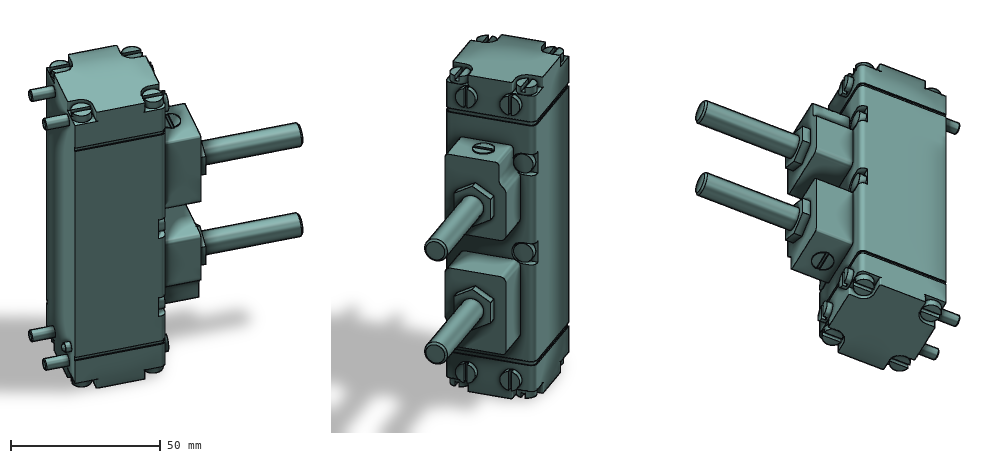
import cadquery as cq
import math

BODY_WIDTH = 32.4
BODY_DEPTH = 32.2
BODY_HEIGHT = 119.0
BACK_EDGE_RADIUS = 2.1
HALF_WIDTH = BODY_WIDTH / 2
HALF_HEIGHT = BODY_HEIGHT / 2

GROOVE_HEIGHT = 1.4
GROOVE_DEPTH = 0.5
GROOVE_Z = 45.1

SCREW_HEAD_DIAMETER = 7.0
SCREW_POCKET_DIAMETER = 8.0
SCREW_X = 11.9
CAP_SCREW_INSET = 3.6
CAP_POCKET_DEPTH = 3.9
CAP_POCKET_LIP_RADIUS = 0.5
CAP_HEAD_HEIGHT = 2.9
CAP_SLOT_WIDTH = 1.4
CAP_SLOT_DEPTH = 1.8

HOLD_POCKET_DEPTH = 2.9
HOLD_HEAD_HEIGHT = 2.5
HOLD_SCREW_Z_OUTER = 29.6
HOLD_SCREW_Z_INNER = 3.9

MOUNT_X = 8.0
MOUNT_Z = 51.8
MOUNT_HEAD_DIAMETER = 7.1
MOUNT_SHANK_DIAMETER = 4.0
MOUNT_SHANK_LENGTH = 8.3
MOUNT_TIP_CHAMFER = 0.4
MOUNT_HEAD_HEIGHT = 2.1
MOUNT_SLOT_WIDTH = 1.1
MOUNT_SLOT_DEPTH = 1.4

LOCATOR_X = 10.8
LOCATOR_Z = -43.7
LOCATOR_DIAMETER = 3.5
LOCATOR_LENGTH = 2.0
LOCATOR_ROOT_DEPTH = 1.2
LOCATOR_TIP_DIAMETER = 2.6
LOCATOR_TIP_LENGTH = 0.8
LOCATOR_TIP_ROUNDING = 0.7

BLOCK_HALF_WIDTH = 11.0
BLOCK_DEPTH = 13.7
BLOCK_INNER_Z = 6.8
BLOCK_OUTER_Z = 35.9
BLOCK_NOTCH_X = 8.5
BLOCK_INNER_RADIUS = 2.1
BLOCK_OUTER_RADIUS = 1.3
BLOCK_SHOULDER_RADIUS = 2.6
BLOCK_BACK_Y = BODY_DEPTH + BLOCK_DEPTH
SELECTION_MARGIN = 0.1

OVERRIDE_DIAMETER = 7.5
OVERRIDE_Y = 38.2
OVERRIDE_PROUD = 0.4
OVERRIDE_LENGTH = 1.2
OVERRIDE_SLOT_WIDTH = 1.1
OVERRIDE_SLOT_DEPTH = 0.7

ROD_Z = 19.4
ROD_DIAMETER = 8.2
ROD_TIP_Y = 84.0
ROD_TIP_CHAMFER = 0.7
NUT_ACROSS_FLATS = 13.2
NUT_THICKNESS = 3.0

SIGNS = (-1, 1)


def y_cylinder(x, z, diameter, y_start, y_end):
    """Cylinder along Y between two depths."""
    profile = cq.Workplane("XZ", origin=(x, y_start, z)).circle(diameter / 2)
    return profile.extrude(y_start - y_end)


def box_between(x_range, y_range, z_range):
    """Axis-aligned box from three (low, high) ranges."""
    size = [high - low for low, high in (x_range, y_range, z_range)]
    corner = (x_range[0], y_range[0], z_range[0])
    return cq.Workplane("XY").box(*size, centered=False).translate(corner)


def half_turn(shape):
    """Turn a shape by 180 degrees about the Y axis."""
    return shape.rotate((0, 0, 0), (0, 1, 0), 180)


def mirror_corners(shape):
    """Copies of a -X, +Z shape in all four X/Z corners."""
    copies = [shape, shape.mirror("YZ")]
    return copies + [copy.mirror("XY") for copy in copies]


def plain_body():
    body = box_between(
        (-HALF_WIDTH, HALF_WIDTH), (0, BODY_DEPTH), (-HALF_HEIGHT, HALF_HEIGHT)
    )
    body = body.edges("|Z and >Y").fillet(BACK_EDGE_RADIUS)
    core = box_between(
        (-HALF_WIDTH + GROOVE_DEPTH, HALF_WIDTH - GROOVE_DEPTH),
        (0, BODY_DEPTH - GROOVE_DEPTH),
        (-HALF_HEIGHT, HALF_HEIGHT),
    )
    core = core.edges("|Z and >Y").fillet(BACK_EDGE_RADIUS - GROOVE_DEPTH)
    for side in SIGNS:
        z = side * GROOVE_Z
        band = box_between(
            (-HALF_WIDTH, HALF_WIDTH),
            (0, BODY_DEPTH),
            (z - GROOVE_HEIGHT / 2, z + GROOVE_HEIGHT / 2),
        )
        body = body.cut(band.cut(core))
    return body


def cap_pocket():
    """Corner pocket at -X, front, top: round inside, open to both outer faces with rounded lips."""
    radius = SCREW_POCKET_DIAMETER / 2
    lip = CAP_POCKET_LIP_RADIUS
    x_wall = -SCREW_X + radius
    y_wall = CAP_SCREW_INSET + radius
    diagonal = radius * math.sqrt(0.5)
    lip_diagonal = lip * (1 - math.sqrt(0.5))
    outline = (
        cq.Workplane("XY", origin=(0, 0, HALF_HEIGHT - CAP_POCKET_DEPTH))
        .moveTo(-HALF_WIDTH, 0)
        .lineTo(x_wall + lip, 0)
        .threePointArc((x_wall + lip_diagonal, lip_diagonal), (x_wall, lip))
        .lineTo(x_wall, CAP_SCREW_INSET)
        .threePointArc(
            (-SCREW_X + diagonal, CAP_SCREW_INSET + diagonal), (-SCREW_X, y_wall)
        )
        .lineTo(-HALF_WIDTH + lip, y_wall)
        .threePointArc(
            (-HALF_WIDTH + lip_diagonal, y_wall + lip_diagonal),
            (-HALF_WIDTH, y_wall + lip),
        )
        .close()
    )
    return outline.extrude(CAP_POCKET_DEPTH)


def cap_screw_head():
    """Slotted head standing on the floor of the -X, front, top pocket."""
    floor_z = HALF_HEIGHT - CAP_POCKET_DEPTH
    top_z = floor_z + CAP_HEAD_HEIGHT
    radius = SCREW_HEAD_DIAMETER / 2
    head = (
        cq.Workplane("XY", origin=(-SCREW_X, CAP_SCREW_INSET, floor_z))
        .circle(radius)
        .extrude(CAP_HEAD_HEIGHT)
    )
    slot = box_between(
        (-SCREW_X - CAP_SLOT_WIDTH / 2, -SCREW_X + CAP_SLOT_WIDTH / 2),
        (CAP_SCREW_INSET - radius, CAP_SCREW_INSET + radius),
        (top_z - CAP_SLOT_DEPTH, top_z),
    )
    return head.cut(slot)


def front_and_back(shape):
    """A front-side shape and its mirror image at the back of the body."""
    middle = (0, BODY_DEPTH / 2, 0)
    return [shape, shape.mirror("XZ", middle)]


def mounting_screw():
    """Screw at -X, top: slotted head on the back face, shank out of the front face."""
    head_y = BODY_DEPTH + MOUNT_HEAD_HEIGHT
    radius = MOUNT_HEAD_DIAMETER / 2
    head = y_cylinder(-MOUNT_X, MOUNT_Z, MOUNT_HEAD_DIAMETER, BODY_DEPTH, head_y)
    slot = box_between(
        (-MOUNT_X - MOUNT_SLOT_WIDTH / 2, -MOUNT_X + MOUNT_SLOT_WIDTH / 2),
        (head_y - MOUNT_SLOT_DEPTH, head_y),
        (MOUNT_Z - radius, MOUNT_Z + radius),
    )
    shank = y_cylinder(
        -MOUNT_X, MOUNT_Z, MOUNT_SHANK_DIAMETER, -MOUNT_SHANK_LENGTH, BODY_DEPTH
    )
    shank = shank.faces("<Y").chamfer(MOUNT_TIP_CHAMFER)
    return shank.union(head.cut(slot))


def locating_pin():
    tip_y = -LOCATOR_LENGTH - LOCATOR_TIP_LENGTH
    pin = y_cylinder(LOCATOR_X, LOCATOR_Z, LOCATOR_DIAMETER, -LOCATOR_LENGTH, LOCATOR_ROOT_DEPTH)
    tip = y_cylinder(LOCATOR_X, LOCATOR_Z, LOCATOR_TIP_DIAMETER, tip_y, 0)
    return pin.union(tip.faces("<Y").edges().fillet(LOCATOR_TIP_ROUNDING))


def pilot_block():
    """Upper pilot block with a corner cut back around its hold-down screw."""
    relief_radius = SCREW_X - BLOCK_NOTCH_X
    block = box_between(
        (-BLOCK_HALF_WIDTH, BLOCK_HALF_WIDTH),
        (BODY_DEPTH, BLOCK_BACK_Y),
        (BLOCK_INNER_Z, BLOCK_OUTER_Z),
    )
    relief = y_cylinder(
        -SCREW_X, HOLD_SCREW_Z_OUTER, 2 * relief_radius, BODY_DEPTH, BLOCK_BACK_Y
    )
    notch = box_between(
        (-BLOCK_HALF_WIDTH, -BLOCK_NOTCH_X),
        (BODY_DEPTH, BLOCK_BACK_Y),
        (HOLD_SCREW_Z_OUTER, BLOCK_OUTER_Z),
    )
    block = block.cut(relief).cut(notch)
    block = block.edges("|Y and <Z").fillet(BLOCK_INNER_RADIUS)
    block = block.edges("|Y and >Z").fillet(BLOCK_OUTER_RADIUS)
    shoulder = cq.selectors.BoxSelector(
        (-BLOCK_HALF_WIDTH - SELECTION_MARGIN, BODY_DEPTH, ROD_Z),
        (-BLOCK_HALF_WIDTH + SELECTION_MARGIN, BLOCK_BACK_Y, BLOCK_OUTER_Z),
    )
    return block.edges("|Y").edges(shoulder).fillet(BLOCK_SHOULDER_RADIUS)


def manual_override():
    """Button slightly proud of the outer end of the upper pilot block, and the slot cut in it."""
    top_z = BLOCK_OUTER_Z + OVERRIDE_PROUD
    radius = OVERRIDE_DIAMETER / 2
    button = cq.Workplane("XY", origin=(0, OVERRIDE_Y, top_z)).circle(radius)
    button = button.extrude(-OVERRIDE_LENGTH)
    slot = box_between(
        (-radius, radius),
        (OVERRIDE_Y - OVERRIDE_SLOT_WIDTH / 2, OVERRIDE_Y + OVERRIDE_SLOT_WIDTH / 2),
        (top_z - OVERRIDE_SLOT_DEPTH, top_z),
    )
    return button, slot


def cable_gland():
    """Hexagon nut and round rod on the back of the upper pilot block."""
    nut_y = BLOCK_BACK_Y + NUT_THICKNESS
    corner_diameter = NUT_ACROSS_FLATS / math.cos(math.pi / 6)
    nut = (
        cq.Workplane("XZ", origin=(0, BLOCK_BACK_Y, 0))
        .polygon(6, corner_diameter)
        .extrude(-NUT_THICKNESS)
        .rotate((0, 0, 0), (0, 1, 0), 90)
        .translate((0, 0, ROD_Z))
    )
    rod = y_cylinder(0, ROD_Z, ROD_DIAMETER, nut_y, ROD_TIP_Y)
    return nut.union(rod.faces(">Y").chamfer(ROD_TIP_CHAMFER))


def pilot():
    """Complete upper pilot: block, override button, nut and rod."""
    button, slot = manual_override()
    return pilot_block().union(button).cut(slot).union(cable_gland())


def hold_down_pocket(x, z):
    """Round pocket in the back face, open to the nearest side face."""
    radius = SCREW_POCKET_DIAMETER / 2
    floor_y = BODY_DEPTH - HOLD_POCKET_DEPTH
    bore = y_cylinder(x, z, SCREW_POCKET_DIAMETER, floor_y, BODY_DEPTH)
    side = math.copysign(HALF_WIDTH, x)
    opening = box_between(
        (min(x, side), max(x, side)), (floor_y, BODY_DEPTH), (z - radius, z + radius)
    )
    return bore.union(opening)


def hold_down_head(x, z):
    floor_y = BODY_DEPTH - HOLD_POCKET_DEPTH
    return y_cylinder(x, z, SCREW_HEAD_DIAMETER, floor_y, floor_y + HOLD_HEAD_HEIGHT)


result = plain_body()

for front_pocket in mirror_corners(cap_pocket()):
    for pocket in front_and_back(front_pocket):
        result = result.cut(pocket)
for front_head in mirror_corners(cap_screw_head()):
    for head in front_and_back(front_head):
        result = result.union(head)

hold_down_places = [
    (-SCREW_X, HOLD_SCREW_Z_OUTER),
    (SCREW_X, HOLD_SCREW_Z_INNER),
    (-SCREW_X, -HOLD_SCREW_Z_INNER),
    (SCREW_X, -HOLD_SCREW_Z_OUTER),
]
for place in hold_down_places:
    result = result.cut(hold_down_pocket(*place)).union(hold_down_head(*place))

for screw in mirror_corners(mounting_screw()):
    result = result.union(screw)
result = result.union(locating_pin())

upper_pilot = pilot()
result = result.union(upper_pilot).union(half_turn(upper_pilot))